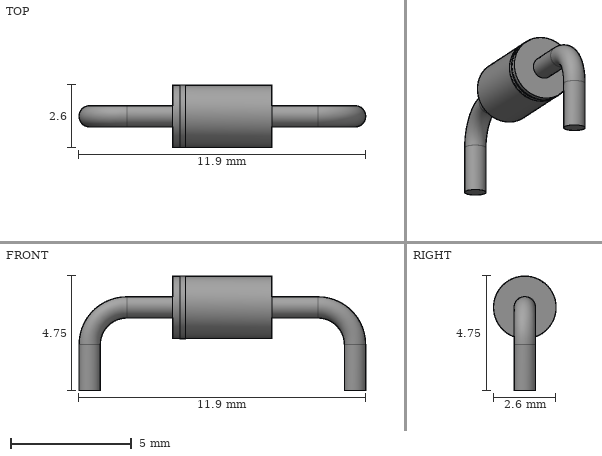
import cadquery as cq

overall_length = 11.89
wire_diameter = 0.89
outer_bend_radius = 1.99
leg_drop = 3.45

body_diameter = 2.59
body_length = 4.11

band_diameter = 2.6
band_thickness = 0.05
band_offset = 0.31
band_width = 0.23

bend_radius = outer_bend_radius - wire_diameter / 2
leg_x = (overall_length - wire_diameter) / 2
bend_start_x = leg_x - bend_radius
body_start_x = -body_length / 2
band_start_x = body_start_x + band_offset
groove_diameter = band_diameter - 2 * band_thickness


def cylinder_along_x(start_x, length, diameter):
    return cq.Workplane("YZ", origin=(start_x, 0, 0)).circle(diameter / 2).extrude(length)


def make_lead():
    """One round wire, straight through the body and bent down at both ends."""
    path = (
        cq.Workplane("XZ")
        .moveTo(-leg_x, -leg_drop)
        .lineTo(-leg_x, -bend_radius)
        .tangentArcPoint((-bend_start_x, 0), relative=False)
        .lineTo(bend_start_x, 0)
        .tangentArcPoint((leg_x, -bend_radius), relative=False)
        .lineTo(leg_x, -leg_drop)
    )
    profile = cq.Workplane("XY", origin=(-leg_x, 0, -leg_drop)).circle(wire_diameter / 2)
    return profile.sweep(path)


def make_band():
    """Thin ring that fills the groove in the body."""
    ring = cylinder_along_x(band_start_x, band_width, band_diameter)
    return ring.cut(cylinder_along_x(band_start_x, band_width, groove_diameter))


def make_body(band):
    """Cylinder with a bore for the lead and a groove for the band."""
    cylinder = cylinder_along_x(body_start_x, body_length, body_diameter)
    bore = cylinder_along_x(body_start_x, body_length, wire_diameter)
    return cylinder.cut(bore).cut(band)


lead = make_lead()
band = make_band()
body = make_body(band)

result = cq.Compound.makeCompound([body.solids().val(), band.solids().val(), lead.val()])